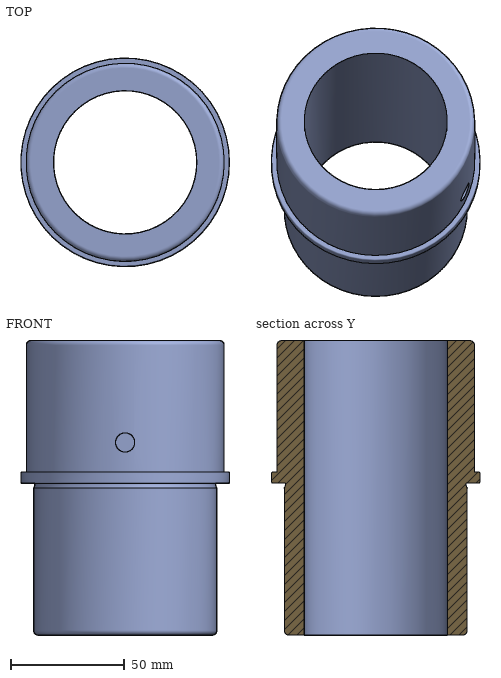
import cadquery as cq
import math

height = 130.0
bore_diameter = 63.0

lower_diameter = 80.9
collar_diameter = 92.0
upper_diameter = 87.4
collar_bottom = 67.0
collar_thickness = 5.1
collar_top = collar_bottom + collar_thickness

end_fillet = 2.1
collar_fillet = 0.5
groove_width = 2.1
groove_depth = 0.5

hole_diameter = 8.5
hole_height = 85.0
hole_depth = 5.8


def cylinder(diameter, bottom, length):
    return cq.Workplane("XY").workplane(offset=bottom).circle(diameter / 2).extrude(length)


lower_body = cylinder(lower_diameter, 0, collar_bottom).faces("<Z").edges().fillet(end_fillet)
collar = cylinder(collar_diameter, collar_bottom, collar_thickness).edges("%CIRCLE").fillet(collar_fillet)
upper_body = cylinder(upper_diameter, collar_top, height - collar_top)
upper_body = upper_body.faces(">Z").edges().fillet(end_fillet)

lower_radius = lower_diameter / 2
groove_radius = lower_radius - groove_depth
groove_bottom = collar_bottom - groove_width
arc_radius = (groove_width**2 + groove_depth**2) / (2 * groove_depth)
half_angle = math.asin(groove_width / arc_radius) / 2
groove_middle = (
    groove_radius + arc_radius * (1 - math.cos(half_angle)),
    collar_bottom - arc_radius * math.sin(half_angle),
)
groove = (
    cq.Workplane("XZ")
    .moveTo(lower_radius, groove_bottom)
    .threePointArc(groove_middle, (groove_radius, collar_bottom))
    .lineTo(lower_radius, collar_bottom)
    .close()
    .revolve(360, (0, 0), (0, 1))
)

bore = cylinder(bore_diameter, 0, height)

hole_floor = upper_diameter / 2 - hole_depth
radial_hole = (
    cq.Workplane("XZ", origin=(0, -hole_floor, hole_height))
    .circle(hole_diameter / 2)
    .extrude(collar_diameter / 2 - hole_floor)
)

result = lower_body.cut(groove).union(collar).union(upper_body).cut(bore).cut(radial_hole)